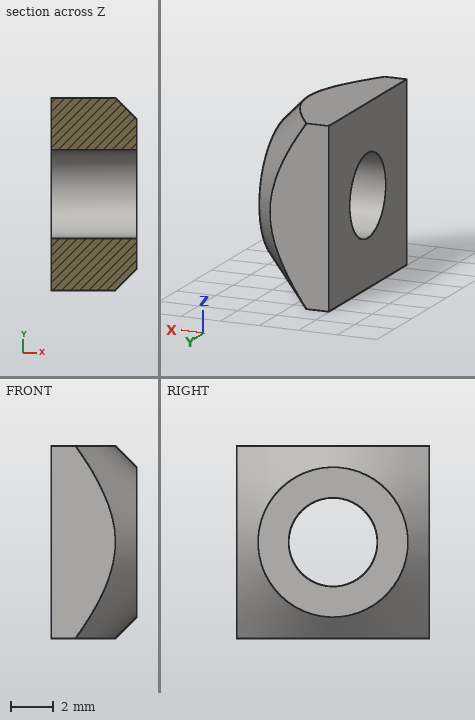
import cadquery as cq

side = 9.0
thickness = 4.0
hole_diameter = 4.13
edge_drop = 1.0

crown_radius = side / 2 - edge_drop
base_radius = crown_radius + thickness

block = cq.Workplane("YZ").rect(side, side).extrude(thickness)

cone = (
    cq.Workplane("XY")
    .polyline([(0, 0), (0, base_radius), (thickness, crown_radius), (thickness, 0)])
    .close()
    .revolve(360, (0, 0, 0), (1, 0, 0))
)

hole = cq.Workplane("YZ").circle(hole_diameter / 2).extrude(thickness)

result = block.intersect(cone).cut(hole)